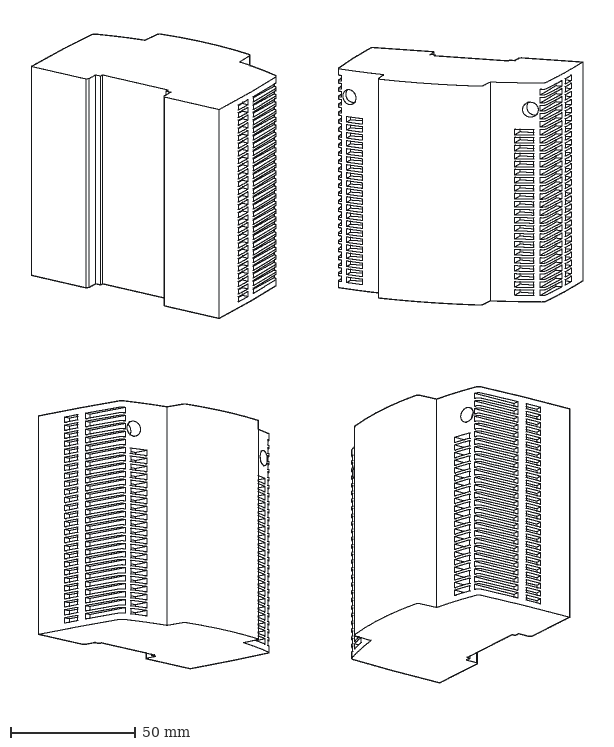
import cadquery as cq
import math

width = 90.0
depth = 60.8
length = 90.0

half_width = width / 2
taper_start = 23.3
shoulder_corner_half = 44.1

dome_radius = 130.5
shoulder_radius = 138.6
shoulder_apex = 51.75
dome_half = 22.1
step_half = 22.7
dome_round = 1.4
shoulder_round = 2.0

channel_half = 18.0
channel_depth = 5.9
channel_floor_half = 15.7
channel_floor_depth = 7.5
channel_lip_width = 0.7
channel_lip_height = 1.1

row_count = 26
long_row_span = 82.4
long_row_height = 2.25
short_row_span = 82.6
short_row_height = 2.2
vent_floor = 42.3
long_vent_start = 25.65
short_vent_start = 14.4
short_vent_end = 21.4
pocket_row_count = 21
pocket_inner = 32.4
pocket_outer = 39.8
pocket_depth = 4.5

hole_diameter = 6.1
hole_x = 38.5
hole_z = 34.0
hole_depth = 4.5


def crown_y(apex, radius, x):
    """Height of a crowned surface at distance x from the middle plane."""
    return apex - radius + math.sqrt(radius**2 - x**2)


def shoulder_y(x):
    return crown_y(shoulder_apex, shoulder_radius, x)


def make_body():
    dome_edge = crown_y(depth, dome_radius, dome_half)
    shoulder_middle = (step_half + shoulder_corner_half) / 2
    inner = (step_half, shoulder_y(step_half))
    middle = (shoulder_middle, shoulder_y(shoulder_middle))
    outer = (shoulder_corner_half, shoulder_y(shoulder_corner_half))
    body = (
        cq.Workplane("XY", origin=(0, 0, -length / 2))
        .moveTo(-half_width, 0)
        .lineTo(half_width, 0)
        .lineTo(half_width, taper_start)
        .lineTo(*outer)
        .threePointArc(middle, inner)
        .lineTo(dome_half, dome_edge)
        .threePointArc((0, depth), (-dome_half, dome_edge))
        .lineTo(-inner[0], inner[1])
        .threePointArc((-middle[0], middle[1]), (-outer[0], outer[1]))
        .lineTo(-half_width, taper_start)
        .close()
        .extrude(length)
    )
    for x, y, radius in (
        (dome_half, dome_edge, dome_round),
        (shoulder_corner_half, outer[1], shoulder_round),
    ):
        for side in (-1, 1):
            corner = cq.selectors.NearestToPointSelector((side * x, y, 0))
            body = body.edges("|Z").edges(corner).fillet(radius)
    return body


def make_channel():
    """Rail channel with a shallower ledge on each side and chamfered lips."""
    half_outline = [
        (channel_half + channel_lip_width, 0),
        (channel_half, channel_lip_height),
        (channel_half, channel_depth),
        (channel_floor_half, channel_depth),
        (channel_floor_half, channel_floor_depth),
    ]
    mirrored = [(-x, y) for x, y in reversed(half_outline)]
    return (
        cq.Workplane("XY", origin=(0, 0, -length / 2))
        .polyline(half_outline + mirrored)
        .close()
        .extrude(length)
    )


def make_row_cutters(x_range, y_range, row_span, row_height, count):
    """Column of equal boxes on the -X side, counted upwards from the lowest row."""
    pitch = row_span / (row_count - 1)
    x_size = x_range[1] - x_range[0]
    y_size = y_range[1] - y_range[0]
    centres = [
        (-sum(x_range) / 2, sum(y_range) / 2, -row_span / 2 + row * pitch)
        for row in range(count)
    ]
    return cq.Workplane("XY").pushPoints(centres).box(x_size, y_size, row_height)


def make_hole():
    bottom = shoulder_y(hole_x) - hole_depth
    return (
        cq.Workplane("XZ", origin=(-hole_x, bottom, hole_z))
        .circle(hole_diameter / 2)
        .extrude(bottom - depth)
    )


long_vents = make_row_cutters(
    (vent_floor, half_width),
    (long_vent_start, shoulder_apex),
    long_row_span,
    long_row_height,
    row_count,
)
short_vents = make_row_cutters(
    (vent_floor, half_width),
    (short_vent_start, short_vent_end),
    short_row_span,
    short_row_height,
    row_count,
)
pocket_floor = shoulder_y(pocket_outer) - pocket_depth
pockets = make_row_cutters(
    (pocket_inner, pocket_outer),
    (pocket_floor, shoulder_apex),
    long_row_span,
    long_row_height,
    pocket_row_count,
)

result = make_body().cut(make_channel())
for cutter in (long_vents, short_vents, pockets, make_hole()):
    result = result.cut(cutter).cut(cutter.mirror("YZ"))